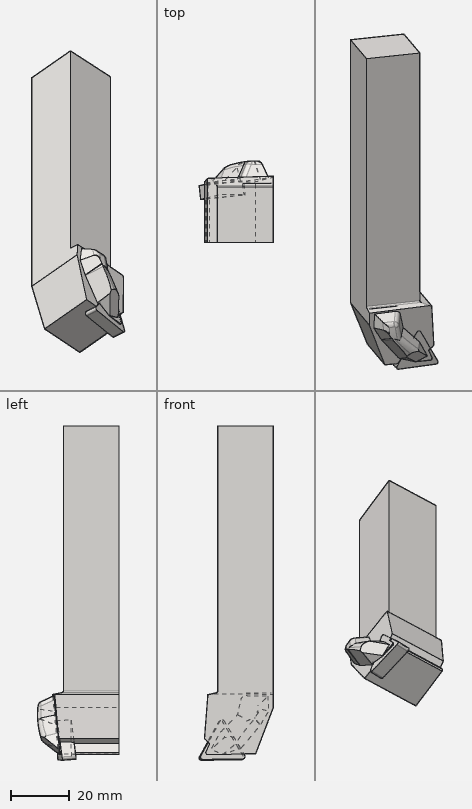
import cadquery as cq
import math

shank_size = 19.05
overall_height = 114.3
overall_depth = 27.92
nose_reach = 6.35

shoulder_height = 23.3
head_rough_depth = 25.0
shoulder_drop = 0.85
back_shoulder_slope = 0.2
shoulder_fillet = 0.5
head_profile = [
    (0, shoulder_height),
    (-3.4, shoulder_height - shoulder_drop),
    (-4.55, 7.5),
    (-2.75, 5.7),
    (-4.1, 2.7),
    (-3.8, 1.95),
    (13.0, 2.25),
    (shank_size, 18.1),
]
head_face_height = 20.15
head_slope_x = 0.033
head_slope_z = 0.085

inscribed_circle = 9.525
insert_thickness = 4.76
nose_radius = 0.8
rake_slope_x = 0.105
rake_slope_z = 0.075
nose_lift = 0.0164
edge_rise = 0.012
nose_face_height = 19.3
insert_side = inscribed_circle * math.sqrt(3)
nose_setback = nose_radius * (math.sqrt(3) - 1)

clamp_base = 20.2
clamp_taper = 25
body_rim_fillet = 2.0
finger_rim_fillet = 2.5
body_corner_fillet = 2.0
clamp_body_outline = [
    (18.3, 23.1),
    (7.4, 23.1),
    (4.7, 8.0),
    (15.0, 11.5),
    (18.3, 16.5),
]
clamp_finger_outline = [
    (18.3, 18.0),
    (12.1, 22.5),
    (0.4, 9.6),
    (-2.4, 3.7),
    (1.8, 1.9),
    (8.0, 3.8),
    (15.0, 11.5),
]
crown_radius = 26.5
crown_margin = 0.5
crown_peak_height = 15.5
tip_cut_point = (2.8, 26.9, 9.2)
tip_cut_normal = (-0.28, 0.74, -0.62)


def rake_workplane():
    """Workplane on the rake face at the sharp nose, pointing into the insert with local Y up."""
    along_edge = cq.Vector(1, rake_slope_x, edge_rise)
    inward = cq.Vector(rake_slope_x, -1, rake_slope_z)
    nose = (-nose_reach - nose_setback, nose_face_height, -nose_lift)
    return cq.Workplane(cq.Plane(origin=nose, xDir=along_edge, normal=inward))


def make_insert():
    rake = rake_workplane()
    corners = [(0, 0), (insert_side, 0), (insert_side / 2, insert_side * math.sqrt(3) / 2)]
    prism = rake.polyline(corners).close().extrude(insert_thickness)
    corner_edges = prism.edges(cq.selectors.ParallelDirSelector(rake.plane.zDir))
    return corner_edges.fillet(nose_radius)


def space_behind_head():
    """Everything behind the tilted back face of the head."""
    room = 2 * overall_height
    outward = cq.Vector(-head_slope_x, 1, -head_slope_z)
    along = cq.Vector(1, head_slope_x, 0)
    face = cq.Plane(origin=(0, head_face_height, 0), xDir=along, normal=outward)
    return cq.Workplane(face).rect(room, room).extrude(room)


def make_head():
    head = cq.Workplane("XZ").polyline(head_profile + [(shank_size, shoulder_height)]).close()
    head = head.extrude(-head_rough_depth)
    fall = (head_rough_depth - shank_size) * back_shoulder_slope
    above_back_shoulder = (
        cq.Workplane("YZ", origin=(-shank_size, 0, 0))
        .moveTo(shank_size, shoulder_height)
        .lineTo(head_rough_depth, shoulder_height - fall)
        .lineTo(head_rough_depth, shoulder_height)
        .close()
        .extrude(3 * shank_size)
    )
    return head.cut(above_back_shoulder).cut(space_behind_head())


def make_shank():
    return (
        cq.Workplane("XY", origin=(0, 0, shoulder_height))
        .rect(shank_size, shank_size, centered=False)
        .extrude(overall_height - shoulder_height)
    )


def crowned_block(outline):
    """Tapered block on the given foot, with a crowned back."""
    foot = cq.Workplane("XZ", origin=(0, clamp_base, 0)).polyline(outline).close()
    block = foot.extrude(-(overall_depth + crown_margin - clamp_base), taper=clamp_taper)
    crown = (
        cq.Workplane("ZY", origin=(2 * shank_size, 0, 0))
        .center(crown_peak_height, overall_depth - crown_radius)
        .circle(crown_radius)
        .extrude(3 * shank_size)
    )
    return block.intersect(crown)


def make_clamp():
    beyond_tip = (
        cq.Workplane(cq.Plane(origin=tip_cut_point, normal=tip_cut_normal))
        .rect(2 * shank_size, 2 * shank_size)
        .extrude(shank_size)
    )
    toward_upper_left = cq.selectors.DirectionMinMaxSelector(cq.Vector(-1, 0, 1))

    body = crowned_block(clamp_body_outline)
    slanted_edges = body.edges("%LINE").edges("not #Y")
    body = slanted_edges.edges(toward_upper_left).fillet(body_corner_fillet)
    body = body.faces(">Y").edges(">Z or <X or >X").fillet(body_rim_fillet)

    finger = crowned_block(clamp_finger_outline).cut(beyond_tip)
    finger = finger.faces(">Y").edges(toward_upper_left).fillet(finger_rim_fillet)
    return body.union(finger).cut(beyond_tip)


def round_shoulder(blank):
    """Fillet the two inside edges where the shank rises from the head."""
    side_middle = (0, shank_size / 2, shoulder_height)
    back_middle = (shank_size / 2, shank_size, shoulder_height)
    at_side = cq.selectors.NearestToPointSelector(side_middle)
    at_back = cq.selectors.NearestToPointSelector(back_middle)
    return blank.edges(at_side + at_back).fillet(shoulder_fillet)


insert = make_insert()
holder = round_shoulder(make_head().union(make_shank()))
holder = holder.union(make_clamp()).cut(insert)
result = cq.Compound.makeCompound([holder.val(), insert.val()])